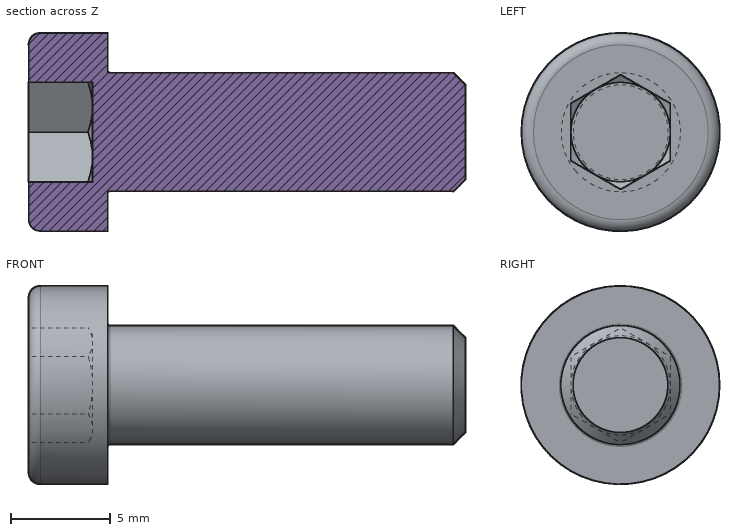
import cadquery as cq
import math

head_diameter = 10.0
head_height = 4.0
head_edge_radius = 0.6
shank_diameter = 6.0
shank_length = 18.0
root_fillet_radius = 0.08
tip_chamfer = 0.613

hexagon_sides = 6
half_side_angle = 180.0 / hexagon_sides
socket_width = 5.0
socket_corner_depth = 3.0
socket_cone_slope = 30.0

socket_floor_radius = socket_width / 2
socket_corner_radius = socket_floor_radius / math.cos(math.radians(half_side_angle))
socket_cone_height = (socket_corner_radius - socket_floor_radius) * math.tan(math.radians(socket_cone_slope))
socket_depth = socket_corner_depth + socket_cone_height


def make_blank():
    """Head and shank without the socket, with all outer edges finished."""
    head = cq.Workplane("YZ").circle(head_diameter / 2).extrude(head_height)
    blank = head.faces(">X").workplane().circle(shank_diameter / 2).extrude(shank_length)
    blank = blank.edges(cq.selectors.RadiusNthSelector(0)).edges("<X").fillet(root_fillet_radius)
    blank = blank.faces(">X").edges().chamfer(tip_chamfer)
    return blank.faces("<X").edges().fillet(head_edge_radius)


def make_socket():
    """Hexagonal prism whose deep corners are trimmed by a cone down to a round floor."""
    prism = (
        cq.Workplane("YZ")
        .polygon(hexagon_sides, 2 * socket_corner_radius)
        .extrude(socket_depth)
        .rotate((0, 0, 0), (1, 0, 0), half_side_angle)
    )
    trim_profile = [
        (0, 0),
        (0, socket_corner_radius),
        (socket_corner_depth, socket_corner_radius),
        (socket_depth, socket_floor_radius),
        (socket_depth, 0),
    ]
    trim = cq.Workplane("XY").polyline(trim_profile).close().revolve(360, (0, 0, 0), (1, 0, 0))
    return prism.intersect(trim)


result = make_blank().cut(make_socket())